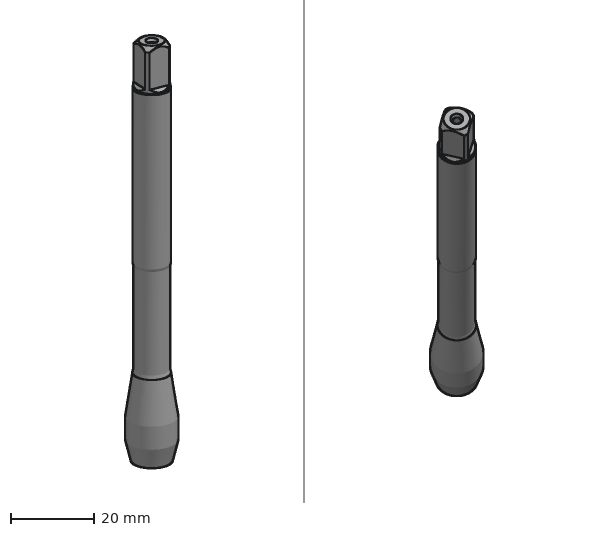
import cadquery as cq
import math

total_length = 110.0

tip_diameter = 10.2
head_diameter = 12.9
lead_length = 5.4
land_end = 11.4
head_length = 23.0

shank_diameter = 9.4
neck_diameter = 8.9
neck_start = 24.0
neck_end = 51.2
shank_start = 51.9

square_width = 7.0
square_length = 11.0
ramp_height = 1.1
shank_end = 97.7
square_corner_diameter = 8.9
end_face_diameter = 6.4

centre_diameter = 2.0
centre_mouth_diameter = 3.0
centre_depth = 5.5
countersink_angle = 60.0
drill_point_angle = 120.0

tip_radius = tip_diameter / 2
head_radius = head_diameter / 2
shank_radius = shank_diameter / 2
neck_radius = neck_diameter / 2
corner_radius = square_corner_diameter / 2
end_face_radius = end_face_diameter / 2
square_start = total_length - square_length
shoulder_chamfer = shank_radius - corner_radius
end_chamfer = corner_radius - end_face_radius
centre_radius = centre_diameter / 2
centre_mouth_radius = centre_mouth_diameter / 2
countersink_depth = (centre_mouth_radius - centre_radius) / math.tan(math.radians(countersink_angle / 2))
drill_point_depth = centre_radius / math.tan(math.radians(drill_point_angle / 2))


def revolve_profile(points):
    """Revolve a closed (radius, height) outline about the Z axis."""
    return cq.Workplane("XZ").polyline(points).close().revolve(360, (0, 0), (0, 1))


def make_head():
    """Cutting head that butts against the flat lower end of the shank."""
    return revolve_profile([
        (0, 0),
        (tip_radius, 0),
        (head_radius, lead_length),
        (head_radius, land_end),
        (shank_radius, head_length),
        (0, head_length),
    ])


def make_shank_blank():
    """Round shank, with a smaller round end that becomes the square drive."""
    return revolve_profile([
        (0, head_length),
        (shank_radius, head_length),
        (neck_radius, neck_start),
        (neck_radius, neck_end),
        (shank_radius, shank_start),
        (shank_radius, shank_end),
        (corner_radius, shank_end + shoulder_chamfer),
        (corner_radius, total_length - end_chamfer),
        (end_face_radius, total_length),
        (0, total_length),
    ])


def make_flat_cutter():
    """Prism that cuts one flat on the +X side, with a sloping ramp below it."""
    flat_distance = square_width / 2
    return (
        cq.Workplane("XZ")
        .polyline([
            (flat_distance, square_start),
            (shank_radius, square_start - ramp_height),
            (shank_radius, total_length),
            (flat_distance, total_length),
        ])
        .close()
        .extrude(shank_radius, both=True)
    )


def make_centre_hole():
    """Solid of the countersunk centre hole with its conical bottom."""
    hole_bottom = total_length - centre_depth
    return revolve_profile([
        (0, hole_bottom - drill_point_depth),
        (centre_radius, hole_bottom),
        (centre_radius, total_length - countersink_depth),
        (centre_mouth_radius, total_length),
        (0, total_length),
    ])


def make_shank():
    """Shank with the four square flats and the centre hole cut into its blank."""
    shank = make_shank_blank()
    flat_cutter = make_flat_cutter()
    for quarter in range(4):
        shank = shank.cut(flat_cutter.rotate((0, 0, 0), (0, 0, 1), 90 * quarter))
    return shank.cut(make_centre_hole())


head = make_head()
shank = make_shank()

result = cq.Compound.makeCompound([head.val(), shank.val()])